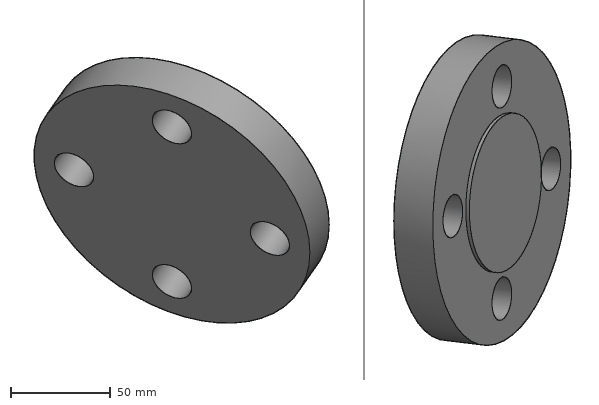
import cadquery as cq

flange_diameter = 155.0
total_thickness = 24.0
raised_face_height = 2.0
raised_face_diameter = 80.9
bolt_hole_diameter = 22.0
bolt_circle_diameter = 110.0
bolt_hole_count = 4

plate_thickness = total_thickness - raised_face_height


def disc(diameter, thickness):
    """Disc with one face at Y = 0, extending toward +Y."""
    return cq.Workplane("XZ").circle(diameter / 2).extrude(-thickness)


plate = disc(flange_diameter, plate_thickness)
raised_face = disc(raised_face_diameter, total_thickness)

bolt_holes = (
    cq.Workplane("XZ")
    .polarArray(bolt_circle_diameter / 2, 0, 360, bolt_hole_count)
    .circle(bolt_hole_diameter / 2)
    .extrude(-plate_thickness)
)

result = plate.union(raised_face).cut(bolt_holes)